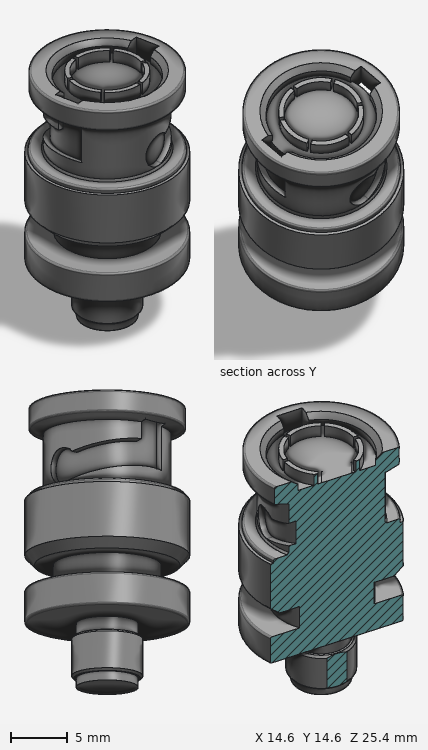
import cadquery as cq
import math

TOP_Z = 25.4

STEM_R = 2.75
STEM_COLLAR_R = 3.15
STEM_COLLAR_BOTTOM_Z = 0.81
STEM_COLLAR_TOP_Z = 4.57
STEM_COLLAR_CHAMFER = 0.2

GRIP_R = 7.302
DISC_BOTTOM_Z = 5.8
DISC_TOP_Z = 8.76
WAIST_R = 4.78

NUT_BOTTOM_Z = 11.1
NUT_SHOULDER_Z = 16.95
NUT_TOP_Z = 17.37
NUT_TOP_R = 7.0
NUT_CHAMFER = 0.86

NECK_R = 5.66
FLARE_R = 5.82
NECK_BASE_Z = 17.6
NECK_TOP_Z = 22.99
FLANGE_R = 6.93
FLANGE_BOTTOM_Z = 23.45
EDGE_ROUND = 0.18

RECESS_FLOOR_Z = 24.2
BORE_R = 4.88
BORE_TOP_Z = 24.9
MOUTH_R = 5.4

RING_OUTER_R = 3.75
RING_INNER_R = 3.3
RING_GAP_COUNT = 6
RING_GAP = 0.3

CORE_R = 5.05
ENTRY_WIDTH = 2.5
ENTRY_DEPTH_Y = 6.0
POCKET_R = 1.6
POCKET_Z = NECK_BASE_Z + POCKET_R
RAMP_WIDTH = 2.4
RAMP_ANGLE = math.radians(14.7)


def cylinder(radius, bottom, top):
    return cq.Workplane("XY").workplane(offset=bottom).circle(radius).extrude(top - bottom)


def stem():
    collar = cylinder(STEM_COLLAR_R, STEM_COLLAR_BOTTOM_Z, STEM_COLLAR_TOP_Z)
    collar = collar.edges().chamfer(STEM_COLLAR_CHAMFER)
    return cylinder(STEM_R, 0, DISC_BOTTOM_Z).union(collar)


def grip():
    disc = cylinder(GRIP_R, DISC_BOTTOM_Z, DISC_TOP_Z).edges().fillet(EDGE_ROUND)
    waist = cylinder(WAIST_R, DISC_TOP_Z, NUT_BOTTOM_Z)
    nut = cylinder(GRIP_R, NUT_BOTTOM_Z, NUT_SHOULDER_Z).faces("<Z").chamfer(NUT_CHAMFER)
    nut_top = cylinder(NUT_TOP_R, NUT_SHOULDER_Z, NUT_TOP_Z).faces(">Z").edges().fillet(EDGE_ROUND)
    return disc.union(waist).union(nut).union(nut_top)


def sleeve():
    """Neck and flange as one turned body with the mouth hollowed out."""
    profile = [
        (0, NUT_TOP_Z),
        (FLARE_R, NUT_TOP_Z),
        (NECK_R, NECK_BASE_Z),
        (NECK_R, NECK_TOP_Z),
        (FLANGE_R, FLANGE_BOTTOM_Z),
        (FLANGE_R, TOP_Z),
        (MOUTH_R, TOP_Z),
        (BORE_R, BORE_TOP_Z),
        (BORE_R, RECESS_FLOOR_Z),
        (0, RECESS_FLOOR_Z),
    ]
    body = cq.Workplane("XZ").polyline(profile).close().revolve(360, (0, 0), (0, 1))
    rim = cq.selectors.RadiusNthSelector(-1)
    return body.edges("%CIRCLE").edges(rim).fillet(EDGE_ROUND)


def contact_ring():
    height = TOP_Z - RECESS_FLOOR_Z
    base = cq.Workplane("XY").workplane(offset=RECESS_FLOOR_Z)
    ring = base.circle(RING_OUTER_R).circle(RING_INNER_R).extrude(height)
    for i in range(RING_GAP_COUNT // 2):
        gap = base.transformed(rotate=(0, 0, i * 360 / RING_GAP_COUNT))
        ring = ring.cut(gap.rect(2 * MOUTH_R, RING_GAP).extrude(height))
    return ring


def bayonet_track():
    """Cutter for the track that enters at -Y and runs down to a pocket facing -X."""
    cos_ramp = math.cos(RAMP_ANGLE)
    sin_ramp = math.sin(RAMP_ANGLE)

    def ramp_point(along, across):
        y = -along * cos_ramp + across * sin_ramp
        z = POCKET_Z + along * sin_ramp + across * cos_ramp
        return (y, z)

    ramp_low = -POCKET_R
    ramp_high = ramp_low + RAMP_WIDTH
    ramp_length = GRIP_R
    ramp_outline = [
        ramp_point(0, ramp_low),
        ramp_point(ramp_length, ramp_low),
        ramp_point(ramp_length, ramp_high),
        ramp_point(0, ramp_high),
    ]
    far_side = cq.Workplane("YZ").workplane(offset=-GRIP_R)
    ramp = far_side.polyline(ramp_outline).close().extrude(GRIP_R + ENTRY_WIDTH / 2)
    pocket = far_side.center(0, POCKET_Z).circle(POCKET_R).extrude(GRIP_R)

    entry_low_z = POCKET_Z - POCKET_R / cos_ramp
    entry_outline = [
        (0, entry_low_z),
        (-ENTRY_DEPTH_Y, entry_low_z + ENTRY_DEPTH_Y * math.tan(RAMP_ANGLE)),
        (-ENTRY_DEPTH_Y, TOP_Z),
        (0, TOP_Z),
    ]
    entry = cq.Workplane("YZ").polyline(entry_outline).close().extrude(ENTRY_WIDTH / 2, both=True)

    core = cylinder(CORE_R, 0, RECESS_FLOOR_Z)
    return ramp.union(pocket).union(entry).cut(core)


track = bayonet_track()
opposite_track = track.rotate((0, 0, 0), (0, 0, 1), 180)
bayonet_sleeve = sleeve().cut(track).cut(opposite_track)

result = stem().union(grip()).union(bayonet_sleeve).union(contact_ring())